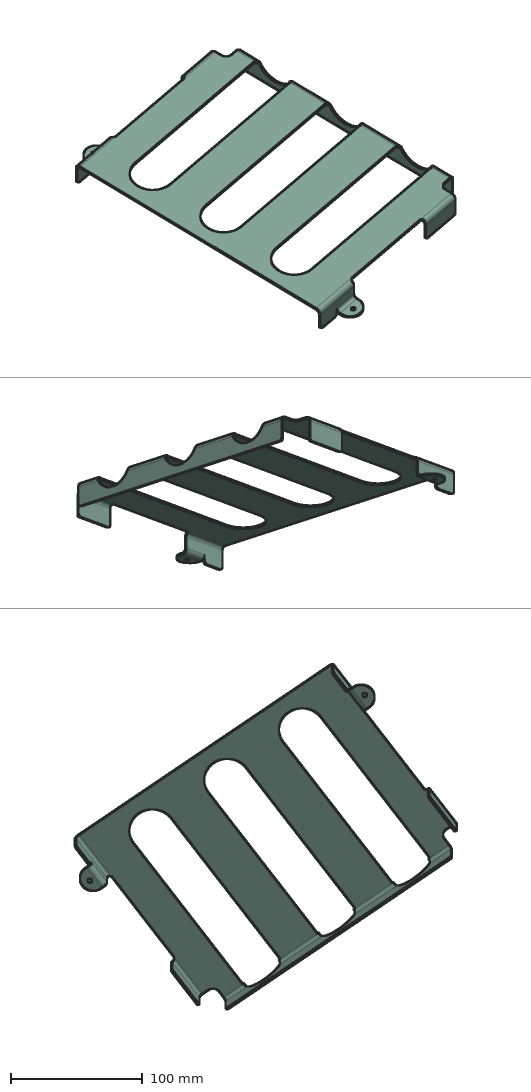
import cadquery as cq
import math

diagonal = math.sqrt(0.5)

thickness = 1.5
inner_radius = 2.7
outer_radius = inner_radius + thickness

tray_width = 242.0
tray_depth = 175.0
half_width = tray_width / 2
plate_half_width = half_width - outer_radius
bend_line_y = tray_depth - outer_radius

rear_half_width = 105.5
rear_height = 20.0
rear_corner_radius = 2.0
notch_depth = 15.5
notch_radius = 5.5
notch_y = tray_depth - notch_depth

rear_side_length = 35.0
rear_side_height = 20.0
rear_side_corner_radius = 2.0
front_side_length = 40.0
front_side_height = 20.5
front_side_corner_radius = 3.0
rear_root_fillet = 2.0
front_root_fillet = 2.5

overall_width = 271.0
ear_width = 20.2
ear_radius = ear_width / 2
ear_bottom = -17.7
ear_center_y = front_side_length - ear_width / 2
ear_center_x = overall_width / 2 - ear_radius
ear_bend_x = half_width + inner_radius
ear_bend_z = ear_bottom + outer_radius
ear_hole_x = 128.5
ear_hole_diameter = 3.2

slot_count = 3
slot_pitch = 70.0
slot_radius = 17.5
slot_front_center_y = 30.0
slot_flange_bottom = -12.75
slot_flange_center_z = slot_flange_bottom + slot_radius


def bent_edge(plane, edge, height):
    """Sketch of the sheet section of a downward bend whose outer face lies at `edge`."""
    center = edge - outer_radius
    outer_mid = (center + outer_radius * diagonal, -outer_radius + outer_radius * diagonal)
    inner_mid = (center + inner_radius * diagonal, -outer_radius + inner_radius * diagonal)
    return (
        cq.Workplane(plane)
        .moveTo(center, 0)
        .threePointArc(outer_mid, (edge, -outer_radius))
        .lineTo(edge, -height)
        .lineTo(edge - thickness, -height)
        .lineTo(edge - thickness, -outer_radius)
        .threePointArc(inner_mid, (center, -thickness))
        .close()
    )


def plate():
    """Flat top plate up to the bend lines, with its rear corners notched."""
    body = cq.Workplane("XY").box(
        2 * plate_half_width, bend_line_y, thickness, centered=(True, False, False)
    )
    notch_width = 2 * (plate_half_width - rear_half_width)
    for side in (-1, 1):
        notch = (
            cq.Workplane("XY")
            .center(side * plate_half_width, notch_y + notch_depth / 2)
            .rect(notch_width, notch_depth)
            .extrude(thickness)
            .edges("|Z and <Y")
            .edges("<X" if side > 0 else ">X")
            .fillet(notch_radius)
        )
        body = body.cut(notch)
    return body.translate((0, 0, -thickness))


def rear_flange():
    """Rear flange with rounded lower corners."""
    return (
        bent_edge("YZ", tray_depth, rear_height)
        .extrude(rear_half_width, both=True)
        .edges("|Y and <Z")
        .fillet(rear_corner_radius)
    )


def side_wall(y_start, y_end, height, corner_radius):
    """Right-hand side flange between two Y positions, with rounded lower corners."""
    return (
        bent_edge("XZ", half_width, height)
        .extrude(-(y_end - y_start))
        .translate((0, y_start, 0))
        .edges("|X and <Z")
        .fillet(corner_radius)
    )


def root_web(y_end, direction, root_fillet):
    """Concave fillet, in plan, between the end of a side flange and the plate edge."""
    bow = root_fillet * (1 - diagonal)
    tip_y = y_end + direction * root_fillet
    plan = (
        cq.Workplane("XY")
        .moveTo(plate_half_width, y_end)
        .lineTo(plate_half_width + root_fillet, y_end)
        .threePointArc((plate_half_width + bow, y_end + direction * bow), (plate_half_width, tip_y))
        .close()
        .extrude(-outer_radius)
    )
    strip = (
        bent_edge("XZ", half_width, outer_radius + thickness)
        .extrude(-root_fillet)
        .translate((0, min(y_end, tip_y), 0))
    )
    return plan.intersect(strip)


def ear():
    """Wall, outward bend and round-ended lug of the right-hand mounting ear."""
    wall_and_bend = (
        bent_edge("XZ", half_width, -ear_bend_z)
        .extrude(-ear_width)
        .union(
            cq.Workplane("XZ")
            .moveTo(half_width, ear_bend_z)
            .threePointArc(
                (ear_bend_x - inner_radius * diagonal, ear_bend_z - inner_radius * diagonal),
                (ear_bend_x, ear_bottom + thickness),
            )
            .lineTo(ear_bend_x, ear_bottom)
            .threePointArc(
                (ear_bend_x - outer_radius * diagonal, ear_bend_z - outer_radius * diagonal),
                (half_width - thickness, ear_bend_z),
            )
            .close()
            .extrude(-ear_width)
        )
        .translate((0, ear_center_y - ear_width / 2, 0))
    )
    lug = (
        cq.Workplane("XY")
        .workplane(offset=ear_bottom)
        .moveTo(ear_bend_x, ear_center_y - ear_radius)
        .lineTo(ear_center_x, ear_center_y - ear_radius)
        .threePointArc(
            (ear_center_x + ear_radius, ear_center_y),
            (ear_center_x, ear_center_y + ear_radius),
        )
        .lineTo(ear_bend_x, ear_center_y + ear_radius)
        .close()
        .extrude(thickness)
    )
    hole = (
        cq.Workplane("XY")
        .workplane(offset=ear_bottom)
        .center(ear_hole_x, ear_center_y)
        .circle(ear_hole_diameter / 2)
        .extrude(thickness)
    )
    return wall_and_bend.union(lug.cut(hole))


def right_side():
    """Everything bent from the right-hand edge of the plate."""
    rear_side_start = notch_y - rear_side_length
    front_wall_end = front_side_length - ear_width
    return (
        side_wall(rear_side_start, notch_y, rear_side_height, rear_side_corner_radius)
        .union(side_wall(0, front_wall_end, front_side_height, front_side_corner_radius))
        .union(ear())
        .union(root_web(rear_side_start, -1, rear_root_fillet))
        .union(root_web(front_side_length, 1, front_root_fillet))
    )


def slot_cutter(x):
    """Slot through the plate, running over the rear bend to a round end in the flange."""
    through_plate = (
        cq.Workplane("XY")
        .moveTo(x - slot_radius, bend_line_y)
        .lineTo(x - slot_radius, slot_front_center_y)
        .threePointArc(
            (x, slot_front_center_y - slot_radius),
            (x + slot_radius, slot_front_center_y),
        )
        .lineTo(x + slot_radius, bend_line_y)
        .close()
        .extrude(-thickness)
    )
    through_flange = (
        cq.Workplane("XZ", origin=(x, bend_line_y, slot_flange_center_z))
        .circle(slot_radius)
        .extrude(-outer_radius)
    )
    return through_plate.union(through_flange)


side = right_side()
result = plate().union(rear_flange()).union(side).union(side.mirror("YZ"))
for index in range(slot_count):
    slot_x = (index - (slot_count - 1) / 2) * slot_pitch
    result = result.cut(slot_cutter(slot_x))